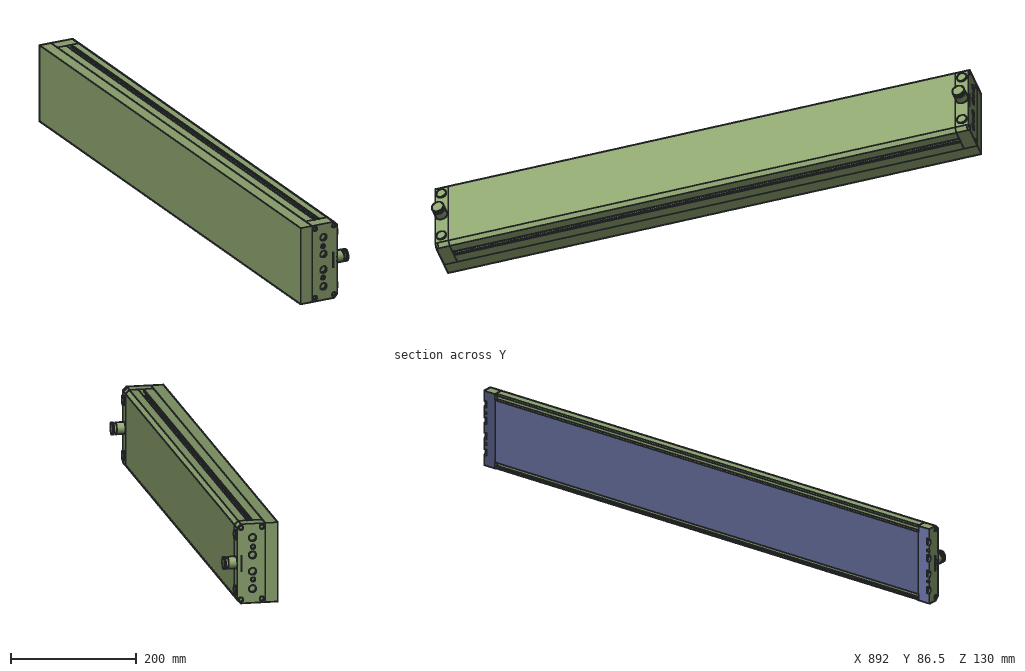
import cadquery as cq

length = 892.0
height = 130.0
depth = 86.5
body_depth = 66.0

panel_depth = 20.5
cap_width = 22.0
back_edge = 6.0

slot_y = 41.0
slot_mouth = 9.0
slot_lip = 4.0
slot_width = 15.0
slot_depth = 11.0

screw_radius = 4.0
screw_depth = 4.0
screw_rows_y = (26.0, 60.0)
screw_z = 59.0

large_socket_y = 41.0
large_socket_radius = 5.8
large_socket_z = (13.0, 42.0)
small_socket_y = 40.0
small_socket_radius = 4.0
small_socket_z = 27.0
socket_depth = 4.5

slit_y = 59.0
slit_width = 1.0
slit_length = 25.0
slit_depth = 2.0

connector_radius = 10.0
connector_inset = 11.0
neck_radius = 8.0
flange_length = 3.0
neck_length = 4.5

foot_radius = 8.0
foot_height = 2.2
foot_z = 45.5

half_length = length / 2
half_height = height / 2


def housing_block(x_start, x_end):
    """Housing section with its long back edges chamfered."""
    block_depth = body_depth - panel_depth
    block = cq.Workplane("XY").box(x_end - x_start, block_depth, height, centered=(False, False, True))
    return block.translate((x_start, panel_depth, 0)).edges("|X and >Y").chamfer(back_edge)


def make_panel():
    return cq.Workplane("XY").box(length, panel_depth, height, centered=(True, False, True))


def make_profile():
    profile_end = half_length - cap_width
    profile = housing_block(-profile_end, profile_end)
    for side in (-1, 1):
        mouth = cq.Workplane("XY").box(2 * profile_end, slot_mouth, 2 * slot_depth)
        profile = profile.cut(mouth.translate((0, slot_y, side * half_height)))
        undercut_height = slot_depth - slot_lip
        undercut = cq.Workplane("XY").box(2 * profile_end, slot_width, undercut_height)
        undercut_z = half_height - slot_lip - undercut_height / 2
        profile = profile.cut(undercut.translate((0, slot_y, side * undercut_z)))
    return profile


def end_face_plugs(points, radius, plug_depth):
    """Cylinders reaching in from the left end face, to be cut out of the cap."""
    face = cq.Workplane("YZ", origin=(-half_length, 0, 0))
    return face.pushPoints(points).circle(radius).extrude(plug_depth)


def make_feet(x):
    back = cq.Workplane("XZ", origin=(x, body_depth, 0))
    return back.pushPoints([(0, -foot_z), (0, foot_z)]).circle(foot_radius).extrude(-foot_height)


def make_connector(x):
    """Barrel, thinner neck and end flange, stacked from the cap towards +Y."""
    barrel_length = depth - body_depth - neck_length - flange_length
    barrel = cq.Workplane("XZ", origin=(x, body_depth, 0)).circle(connector_radius).extrude(-barrel_length)
    neck = barrel.faces(">Y").workplane().circle(neck_radius).extrude(neck_length)
    return neck.faces(">Y").workplane().circle(connector_radius).extrude(flange_length)


def make_left_cap():
    screws = [(y, side * screw_z) for y in screw_rows_y for side in (-1, 1)]
    large_sockets = [(large_socket_y, side * z) for z in large_socket_z for side in (-1, 1)]
    small_sockets = [(small_socket_y, side * small_socket_z) for side in (-1, 1)]
    slit = cq.Workplane("XY").box(2 * slit_depth, slit_width, slit_length)
    connector_x = -half_length + connector_inset

    cap = housing_block(-half_length, -half_length + cap_width)
    cap = cap.cut(end_face_plugs(screws, screw_radius, screw_depth))
    cap = cap.cut(end_face_plugs(large_sockets, large_socket_radius, socket_depth))
    cap = cap.cut(end_face_plugs(small_sockets, small_socket_radius, socket_depth))
    cap = cap.cut(slit.translate((-half_length, slit_y, 0)))
    cap = cap.union(make_connector(connector_x))
    return cap.union(make_feet(connector_x))


panel = make_panel()
profile = make_profile()
left_cap = make_left_cap()
right_cap = left_cap.mirror("YZ")

result = cq.Compound.makeCompound([panel.val(), profile.val(), left_cap.val(), right_cap.val()])